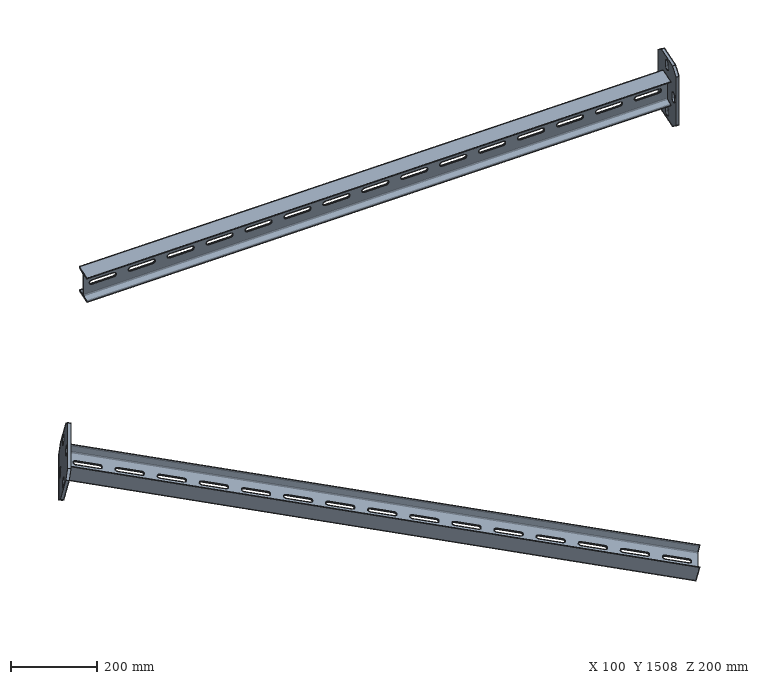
import cadquery as cq

total_length = 1508.0

plate_width = 100.0
plate_height = 200.0
plate_thickness = 8.0
plate_chamfer = 20.0

plate_slot_length = 32.0
plate_slot_width = 14.0
side_slot_offset = 35.0
end_slot_offset = 75.0

beam_height = 80.0
beam_width = 42.0
web_thickness = 3.9
flange_thickness = 5.0
flange_slope = 0.14
flange_radius = 2.0

web_slot_count = 15
web_slot_length = 70.0
web_slot_height = 14.0
web_slot_end_margin = 15.0

beam_length = total_length - plate_thickness
plate_front = total_length / 2 - plate_thickness
beam_middle = plate_front - beam_length / 2
web_slot_pitch = (beam_length - 2 * web_slot_end_margin - web_slot_length) / (web_slot_count - 1)


def make_plate():
    """Chamfered plate with an upright obround slot near the middle of each side."""
    blank = (
        cq.Workplane("XY")
        .box(plate_width, plate_thickness, plate_height)
        .edges("|Y")
        .chamfer(plate_chamfer)
    )
    slot_centres = [
        (side_slot_offset, 0),
        (-side_slot_offset, 0),
        (0, end_slot_offset),
        (0, -end_slot_offset),
    ]
    slots = (
        cq.Workplane("XZ")
        .pushPoints(slot_centres)
        .slot2D(plate_slot_length, plate_slot_width, 90)
        .extrude(plate_thickness, both=True)
    )
    return blank.cut(slots).translate((0, plate_front + plate_thickness / 2, 0))


def make_beam_section():
    """Unpierced I-beam running from the plate toward -Y."""
    half_width = beam_width / 2
    half_height = beam_height / 2
    half_web = web_thickness / 2
    mid_face_z = half_height - flange_thickness
    toe_z = mid_face_z + flange_slope * half_width / 2
    root_z = toe_z - flange_slope * (half_width - half_web)

    right_side = [
        (half_width, half_height),
        (half_width, toe_z),
        (half_web, root_z),
        (half_web, -root_z),
        (half_width, -toe_z),
        (half_width, -half_height),
    ]
    left_side = [(-x, z) for x, z in reversed(right_side)]
    bar = (
        cq.Workplane("XZ", origin=(0, plate_front, 0))
        .polyline(right_side + left_side)
        .close()
        .extrude(beam_length)
    )

    rooted = bar.edges("|Y").edges(">>X[-2] or <<X[-2]").fillet(flange_radius)
    return rooted.edges("|Y").edges(">>X or <<X").edges(">>Z[-2] or <<Z[-2]").fillet(flange_radius)


def make_web_slots():
    """Cutting bodies for the evenly spaced slots through the web."""
    return (
        cq.Workplane("YZ", origin=(0, beam_middle, 0))
        .rarray(web_slot_pitch, 15, web_slot_count, 1)
        .slot2D(web_slot_length, web_slot_height)
        .extrude(web_thickness, both=True)
    )


plate = make_plate()
beam = make_beam_section().cut(make_web_slots())

result = cq.Compound.makeCompound([plate.solids().val(), beam.solids().val()])